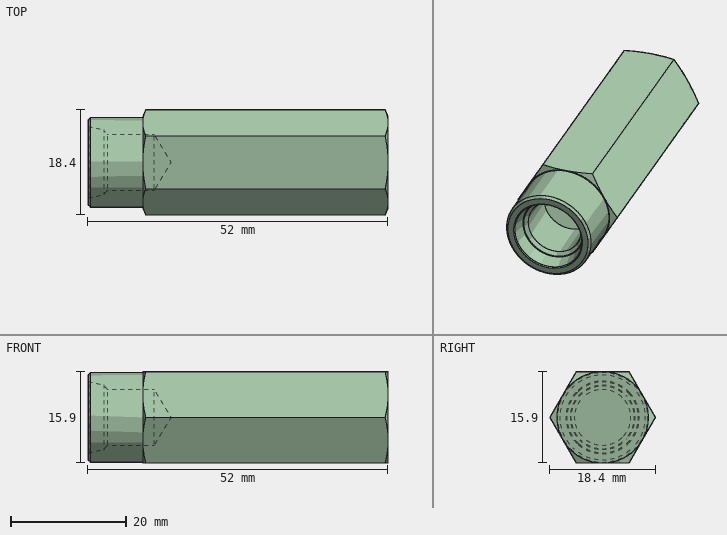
import cadquery as cq
import math

total_length = 52.05
across_flats = 15.9
across_corners = across_flats / math.cos(math.pi / 6)

spigot_diameter = 15.6
spigot_length = 9.5
spigot_chamfer = 0.4

corner_chamfer_length = 0.5

mouth_diameter = 12.7
seat_diameter = 12.35
shelf_diameter = 11.25
lead_in_diameter = 10.95
bore_diameter = 9.75
seat_half_angle = math.radians(12)
lead_in_half_angle = math.radians(45)
bore_depth = 11.45
drill_tip_half_angle = math.radians(59)


def cone_length(large_diameter, small_diameter, half_angle):
    """Axial length of a cone between two diameters."""
    return (large_diameter - small_diameter) / 2 / math.tan(half_angle)


def revolve_about_x(points):
    """Solid of revolution about X from (x, radius) points."""
    return cq.Workplane("XY").polyline(points).close().revolve(360, (0, 0, 0), (1, 0, 0))


def hexagon_body():
    """Hexagonal bar with flats facing +Z and -Z and trimmed corners."""
    flat_radius = across_flats / 2
    corner_radius = across_corners / 2
    bar = (
        cq.Workplane("YZ", origin=(spigot_length, 0, 0))
        .polygon(6, across_corners)
        .extrude(total_length - spigot_length)
    )
    turned_envelope = revolve_about_x([
        (spigot_length, 0),
        (spigot_length, flat_radius),
        (spigot_length + corner_chamfer_length, corner_radius),
        (total_length - corner_chamfer_length, corner_radius),
        (total_length, flat_radius),
        (total_length, 0),
    ])
    return bar.intersect(turned_envelope)


def spigot():
    """Round spigot with a chamfered front rim."""
    return (
        cq.Workplane("YZ")
        .circle(spigot_diameter / 2)
        .extrude(spigot_length)
        .faces("<X")
        .chamfer(spigot_chamfer)
    )


def port():
    """Stepped, tapered cavity that opens at the spigot face."""
    seat_start = (mouth_diameter - seat_diameter) / 2
    seat_end = seat_start + cone_length(seat_diameter, shelf_diameter, seat_half_angle)
    bore_start = seat_end + cone_length(lead_in_diameter, bore_diameter, lead_in_half_angle)
    tip = bore_depth + cone_length(bore_diameter, 0, drill_tip_half_angle)
    return revolve_about_x([
        (0, 0),
        (0, mouth_diameter / 2),
        (seat_start, seat_diameter / 2),
        (seat_end, shelf_diameter / 2),
        (seat_end, lead_in_diameter / 2),
        (bore_start, bore_diameter / 2),
        (bore_depth, bore_diameter / 2),
        (tip, 0),
    ])


result = hexagon_body().union(spigot()).cut(port())